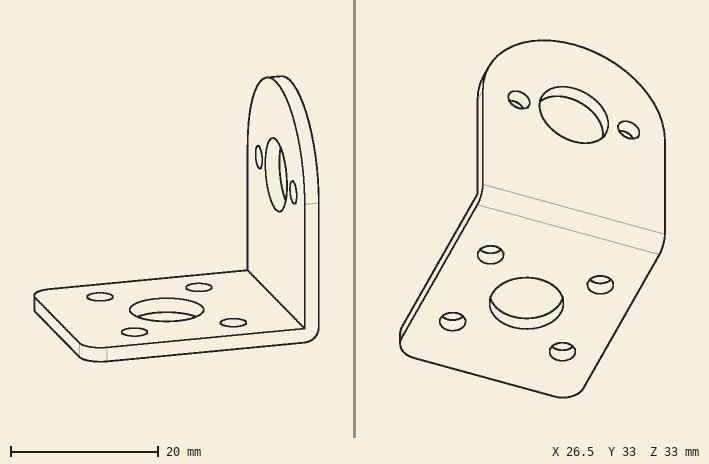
import cadquery as cq

width = 26.5
depth = 33.0
height = 33.0
thickness = 2.0

corner_radius = 3.0
bend_radius = thickness
crown_radius = width / 2

bore_diameter = 10.0
wall_hole_diameter = 3.1
base_hole_diameter = 3.5
hole_offset_x = 8.0
base_hole_offset_y = 7.0
wall_bore_z = height - crown_radius
base_bore_y = 15.5


def make_base():
    """Horizontal leg with rounded free corners."""
    base = cq.Workplane("XY").box(width, depth, thickness, centered=(True, False, False))
    return base.edges("|Z and <Y").fillet(corner_radius)


def make_wall():
    """Upright leg at the back, closed by a semicircular top."""
    return (
        cq.Workplane("XZ", origin=(0, depth, 0))
        .moveTo(-width / 2, 0)
        .lineTo(width / 2, 0)
        .lineTo(width / 2, wall_bore_z)
        .threePointArc((0, height), (-width / 2, wall_bore_z))
        .close()
        .extrude(thickness)
    )


def drill_base(part):
    """Central bore with four screw holes around it."""
    plane = cq.Workplane("XY", origin=(0, base_bore_y, 0))
    bore = plane.circle(bore_diameter / 2).extrude(thickness)
    screws = (
        plane.rect(2 * hole_offset_x, 2 * base_hole_offset_y, forConstruction=True)
        .vertices()
        .circle(base_hole_diameter / 2)
        .extrude(thickness)
    )
    return part.cut(bore).cut(screws)


def drill_wall(part):
    """Bore concentric with the round top, with a screw hole on each side."""
    plane = cq.Workplane("XZ", origin=(0, depth, wall_bore_z))
    bore = plane.circle(bore_diameter / 2).extrude(thickness)
    screws = (
        plane.pushPoints([(-hole_offset_x, 0), (hole_offset_x, 0)])
        .circle(wall_hole_diameter / 2)
        .extrude(thickness)
    )
    return part.cut(bore).cut(screws)


def round_bend(part):
    """Round the outside of the bend about the sharp inner corner line."""
    blank = cq.Workplane("XY").box(width, bend_radius, bend_radius, centered=(True, False, False))
    blank = blank.translate((0, depth - bend_radius, 0))
    bend = (
        cq.Workplane("YZ", origin=(-width / 2, depth - bend_radius, bend_radius))
        .circle(bend_radius)
        .extrude(width)
    )
    return part.cut(blank.cut(bend))


bracket = round_bend(make_base().union(make_wall()))
result = drill_wall(drill_base(bracket))